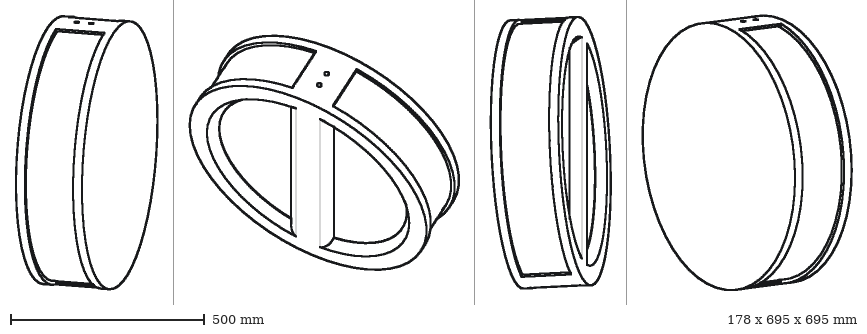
import cadquery as cq

disc_diameter = 695.0
thickness = 178.0
front_x = -thickness / 2

groove_width = 130.0
groove_floor_diameter = 674.0
strap_width = 119.5
strap_underside_z = 336.5
cut_margin = 14.0

taper_depth = 26.5
recess_lip = 1.5
recess_depth = taper_depth + recess_lip
recess_mouth_diameter = 593.5
recess_floor_diameter = 550.5

bar_face_width = 69.5
bar_base_width = 122.0
flank_radius = 29.0

pin_diameter = 12.0
pin_positions_x = (-27.0, 12.5)


def x_cylinder(diameter, length, start_x):
    """Cylinder along X, beginning at start_x."""
    return cq.Workplane("YZ", origin=(start_x, 0, 0)).circle(diameter / 2).extrude(length)


def rim_groove():
    """Ring-shaped groove that leaves a flat-bottomed strap at the top and bottom."""
    start_x = -groove_width / 2
    ring = x_cylinder(disc_diameter + cut_margin, groove_width, start_x).cut(
        x_cylinder(groove_floor_diameter, groove_width, start_x)
    )
    strap_height = (disc_diameter + cut_margin) / 2 - strap_underside_z
    strap_middle_z = strap_underside_z + strap_height / 2
    for side in (1, -1):
        strap = cq.Workplane("XY", origin=(0, 0, side * strap_middle_z)).box(
            groove_width, strap_width, strap_height
        )
        ring = ring.cut(strap)
    return ring


def recess_bar():
    """Bar along Z whose flanks bulge outward from the floor to the flat face."""
    half_face = bar_face_width / 2
    half_base = bar_base_width / 2
    floor_x = front_x + recess_depth
    return (
        cq.Workplane("XY", origin=(0, 0, -disc_diameter / 2))
        .moveTo(front_x, -half_face)
        .radiusArc((floor_x, -half_base), -flank_radius)
        .lineTo(floor_x, half_base)
        .radiusArc((front_x, half_face), -flank_radius)
        .close()
        .extrude(disc_diameter)
    )


def front_recess():
    """Shallow cone-walled recess in the -X face, split in two by the bar."""
    cone = (
        cq.Workplane("YZ", origin=(front_x, 0, 0))
        .circle(recess_mouth_diameter / 2)
        .workplane(offset=taper_depth)
        .circle(recess_floor_diameter / 2)
        .loft()
    )
    lip = x_cylinder(recess_floor_diameter, recess_lip, front_x + taper_depth)
    return cone.union(lip).cut(recess_bar())


def strap_pins():
    """Flat-topped pins through the top strap, ending level with the crown of the disc."""
    return (
        cq.Workplane("XY", origin=(0, 0, strap_underside_z))
        .pushPoints([(x, 0) for x in pin_positions_x])
        .circle(pin_diameter / 2)
        .extrude(disc_diameter / 2 - strap_underside_z)
    )


result = (
    x_cylinder(disc_diameter, thickness, front_x)
    .cut(rim_groove())
    .cut(front_recess())
    .union(strap_pins())
)